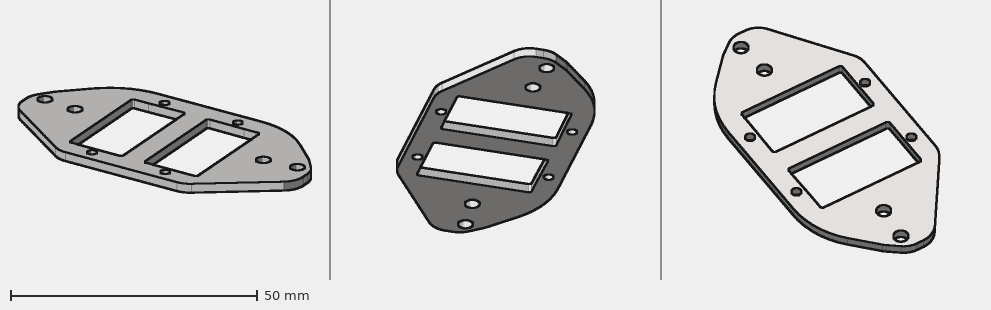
import cadquery as cq

length = 67.45
width = 33.5
thickness = 2.0
half_length = length / 2
half_width = width / 2

top_corner_x = 19.6
shoulder_x = 30.5
shoulder_y = 6.5
tip_top_y = 2.35
tip_bottom_y = -3.5
bottom_corner_x = 15.0
top_radius = 18.2
corner_radius = 5.0

window_inner_x = 2.6
window_outer_x = 15.3
window_bottom_y = -12.3
window_top_y = 11.9
window_kink_x = 11.45
window_rise = 0.15
window_radius = 0.55

screw_diameter = 2.0
screw_x = 8.8
screw_spacing = 27.65
screw_center_y = -0.1
mount_diameter = 3.05
outer_mount = (30.3, 2.3)
inner_mount = (22.6, 1.55)


def mirrored(points):
    """Return the points together with their mirror images across the YZ plane."""
    return points + [(-x, y) for x, y in points]


def make_plate():
    """Extrude the symmetric outline and round its upright edges."""
    right_side = [
        (bottom_corner_x, -half_width),
        (half_length, tip_bottom_y),
        (half_length, tip_top_y),
        (shoulder_x, shoulder_y),
        (top_corner_x, half_width),
    ]
    left_side = [(-x, y) for x, y in reversed(right_side)]
    plate = cq.Workplane("XY").polyline(right_side + left_side).close().extrude(thickness)
    top_corners = cq.selectors.BoxSelector(
        (-half_length, half_width - 0.7, 0), (half_length, half_width + 0.7, thickness)
    )
    plate = plate.edges("|Z").edges(top_corners).fillet(top_radius)
    lower_corners = cq.selectors.BoxSelector(
        (-half_length - 0.7, -half_width - 0.7, 0), (half_length + 0.7, shoulder_y + 0.7, thickness)
    )
    return plate.edges("|Z").edges(lower_corners).fillet(corner_radius)


def make_windows():
    """Solid cutters for the two windows, rounded at all corners except the slight kink."""
    outline = [
        (window_inner_x, window_bottom_y),
        (window_outer_x, window_bottom_y),
        (window_outer_x, window_top_y),
        (window_kink_x, window_top_y),
        (window_inner_x, window_top_y + window_rise),
    ]
    window = cq.Workplane("XY").polyline(outline).close().extrude(thickness)
    window = window.edges("|Z and (>X or <X)").fillet(window_radius)
    return window.union(window.mirror("YZ"))


def make_holes(points, diameter):
    """Solid cutters for round through holes on both sides of the plate."""
    return cq.Workplane("XY").pushPoints(mirrored(points)).circle(diameter / 2).extrude(thickness)


screw_points = [(screw_x, screw_center_y + side * screw_spacing / 2) for side in (-1, 1)]

result = (
    make_plate()
    .cut(make_windows())
    .cut(make_holes(screw_points, screw_diameter))
    .cut(make_holes([outer_mount, inner_mount], mount_diameter))
)